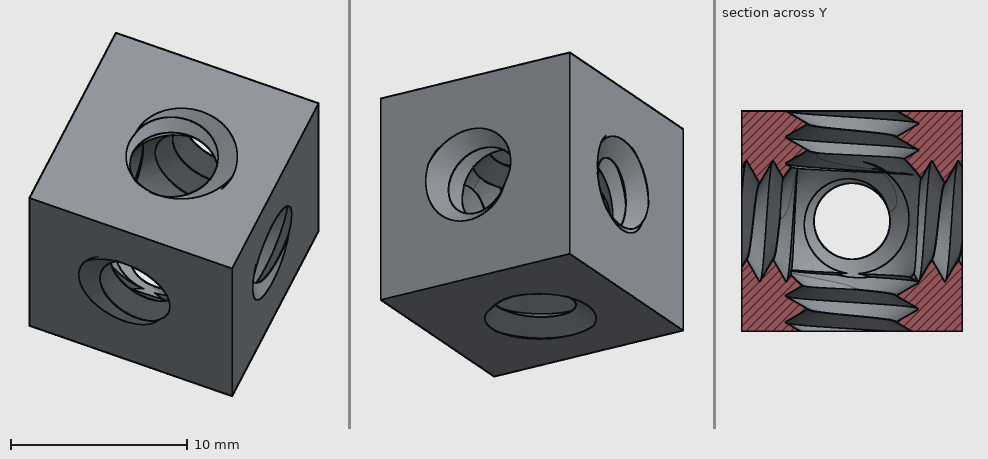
import cadquery as cq
import math

side = 12.5
half_side = side / 2
cavity_radius = 4.6

pitch = 1.5
crest_land = 0.02
flank_half_angle = 30.0
bore_overlap = 0.12
groove_half_width = (pitch - crest_land) / 2
groove_depth = groove_half_width / math.tan(math.radians(flank_half_angle))

vertical_bore_radius = 2.5
vertical_root_angle = -6.0
side_bore_radius = 2.15
side_root_angle = 145.0

turns_outside = 1
turns = math.ceil(side / pitch) + 2 * turns_outside
thread_length = turns * pitch
thread_start = half_side + turns_outside * pitch - thread_length

X_AXIS = (1, 0, 0)
Z_AXIS = (0, 0, 1)
ORIGIN = (0, 0, 0)


def helical_groove(bore_radius):
    """Right-handed V groove on Z, as a solid with its first turn starting at angle zero."""
    inner_radius = bore_radius - bore_overlap
    profile = [
        (inner_radius, -groove_half_width),
        (bore_radius, -groove_half_width),
        (bore_radius + groove_depth, 0),
        (bore_radius, groove_half_width),
        (inner_radius, groove_half_width),
    ]

    helices = [
        cq.Wire.makeHelix(pitch, thread_length, radius, center=cq.Vector(0, 0, height)).Edges()[0]
        for radius, height in profile
    ]
    next_helices = helices[1:] + helices[:1]
    faces = [cq.Face.makeRuledSurface(*pair) for pair in zip(helices, next_helices)]

    for end in (0, thread_length):
        corners = [cq.Vector(radius, 0, height + end) for radius, height in profile]
        faces.append(cq.Face.makeFromWires(cq.Wire.makePolygon(corners, close=True)))

    return cq.Workplane(cq.Solid.makeSolid(cq.Shell.makeShell(faces)).fix())


def threaded_rod(bore_radius, root_angle):
    """Cutter for a threaded through hole on Z, entered from the +Z face."""
    groove = (
        helical_groove(bore_radius)
        .rotate(ORIGIN, Z_AXIS, root_angle)
        .translate((0, 0, thread_start))
    )
    bore = cq.Workplane("XY").cylinder(side + pitch, bore_radius)
    return groove.union(bore, clean=False)


vertical_rod = threaded_rod(vertical_bore_radius, vertical_root_angle)
side_rod = threaded_rod(side_bore_radius, side_root_angle)
front_rod = side_rod.rotate(ORIGIN, X_AXIS, 90)
left_rod = front_rod.rotate(ORIGIN, Z_AXIS, -90)

result = cq.Workplane("XY").box(side, side, side)
result = result.cut(cq.Workplane("XY").sphere(cavity_radius))
for rod in (vertical_rod, front_rod, left_rod):
    result = result.cut(rod, clean=False)